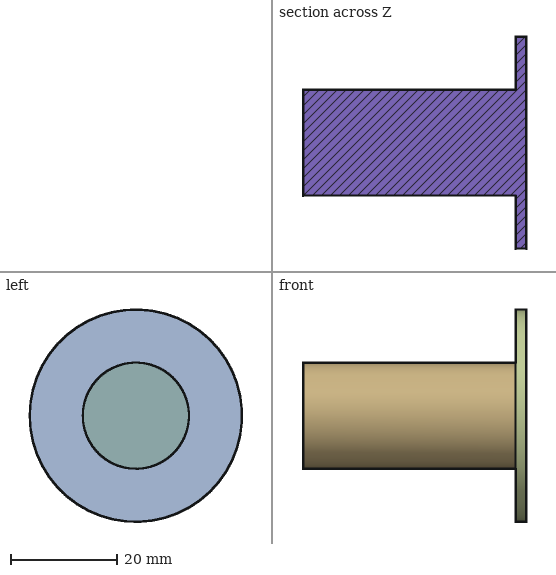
import cadquery as cq

total_length = 42.0
flange_diameter = 40.0
flange_thickness = 2.0
shaft_diameter = flange_diameter / 2
shaft_length = total_length - flange_thickness

shaft = cq.Workplane("YZ").circle(shaft_diameter / 2).extrude(shaft_length)

flange = (
    cq.Workplane("YZ", origin=(shaft_length, 0, 0))
    .circle(flange_diameter / 2)
    .extrude(flange_thickness)
)

result = shaft.union(flange)